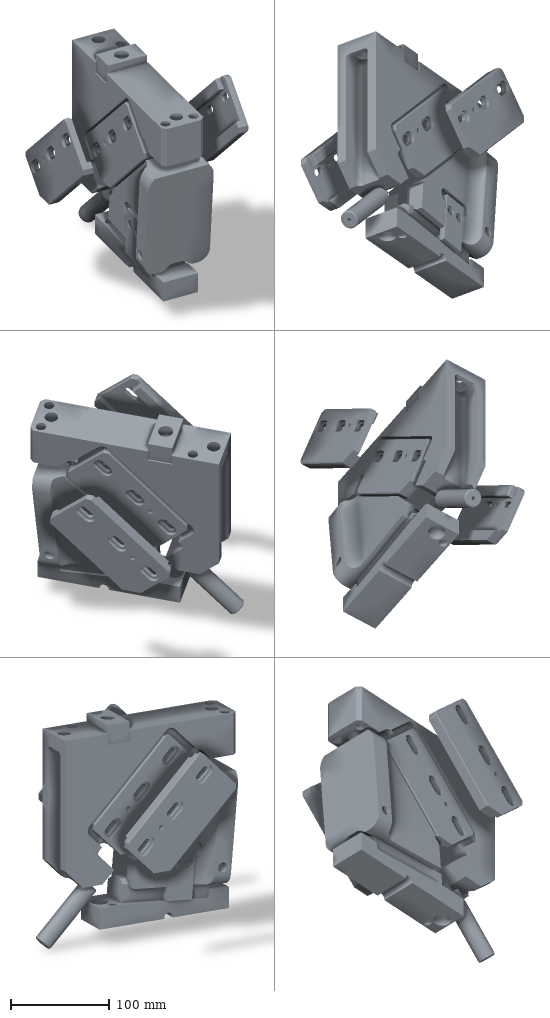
import cadquery as cq
import math

TILT = 5.0
TRAVEL = 45.0
SEAT_X = -51.5
PIN_X = -49.6
PIN_Z = 126.0
BIG = 472.7
DRILL_POINT = 118.0

BASE_LEFT = -80.0
BASE_RIGHT = 70.2
BASE_HEIGHT = 22.7
BASE_WIDTH = 40.0
GROOVE_RADIUS = 5.0
GROOVE_HEIGHT = 6.0
SEAT_CORNER_RADIUS = 2.0
BASE_SCREW_DIA = 18.0
BASE_SCREW_X = -69.2
BASE_DOWEL_DIA = 9.0
BASE_DOWEL_X = -61.5
BASE_DOWEL_Y = -13.2

DRIVER_LENGTH = 99.0
SHOULDER_HEIGHT = 16.8
ROOF_HEIGHT = 7.0
ROOF_TOP_HALF = 6.9
ROOF_HALF = 17.3
DRIVER_TRIM = 13.2
DRIVER_TRIM_END = 61.5
HOOK_GROOVE_END = 84.0
HOOK_GROOVE_TOP = 8.5
HOOK_GROOVE_RADIUS = 6.1
DRIVER_CHAMFER = 3.3

HOLDER_WIDTH = 48.0
HOLDER_LEFT = -122.0
HOLDER_RIGHT = 77.8
HOLDER_TOP = 209.5
HOLDER_BOTTOM = 49.5
ARM_BOTTOM = 164.7
ARM_CHAMFER = 4.5
HEEL_CHAMFER = 20.3
STOP_FACE = 96.0
STOP_CORNER_RADIUS = 7.0
SLIDE_CONTACT = -20.0
MOUTH_TOP = -5.0
MOUTH_START = -33.0
MOUTH_END = -55.5
MOUTH_RADIUS = 3.5
NOSE_EDGE = -33.5
CHANNEL_WIDTH = 27.7
CHANNEL_DEPTH = 23.2
CHANNEL_TOP = 194.0
CHANNEL_RADIUS = 5.0

SCREW_DIA = 14.0
DOWEL_DIA = 10.6
DOWEL_Y = 16.0
LEFT_SCREW_X = -110.1
LEFT_DOWEL_X = -92.5
LEFT_DOWEL_DEPTH = 20.0
RIGHT_SCREW_X = 60.7
RIGHT_DOWEL_X = 67.4
KEY_LEFT = -72.3
KEY_WIDTH = 25.5
KEY_LENGTH = 45.0
KEY_BOTTOM = 197.0
KEY_TOP = 218.5
KEY_HOLE_DIA = 15.4
KEY_HOLE_DEPTH = 11.8
KEY_SOCKET = 9.0

PLATE_FACE = 24.8
PLATE_START = -39.7
PLATE_END = 85.0
PLATE_TOP = 19.9
PLATE_LOW = -42.3
PLATE_CORNER = 4.7
PLATE_LOW_CORNER = 14.7
PLATE_EDGE_CHAMFER = 1.0
WEB_THICKNESS = 7.0
PAD_THICKNESS = 12.5
PAD_START = -29.8
PAD_END = 74.5
PAD_LOW = 7.5
PAD_CHAMFER = 1.0
PAD_ROOT_RADIUS = 2.1
RAIL_THICKNESS = 11.5
RAIL_EDGE = -30.5
RAIL_CHAMFER = 1.0
SLOT_START = -25.0
SLOT_PITCH = 47.5
SLOT_COUNT = 3
SLOT_STROKE = 10.0
SLOT_WIDTH = 7.0
SLOT_HEAD_WIDTH = 13.0
SLOT_HEAD_DEPTH = 3.5
PIN_DIA = 5.5
PLATE_SOCKET = 4.5
SOCKET_DEPTH = 2.4
REMOVED_SHIFT = 70.2
RECESS_START = -46.8
RECESS_END = 93.0
RECESS_TOP = 23.0
RECESS_RADIUS = 7.5
RECESS_FLOOR_RADIUS = 2.1

SLIDE_START = 7.5
SLIDE_END = 112.0
SLIDE_TOP = 137.5
SLIDE_WIDTH = HOLDER_WIDTH
FLANGE_THICKNESS = 19.4
FLANGE_WIDTH = 75.2
FLANGE_CORNER = 14.0
FLANGE_TOP_RADIUS = 17.7
FLANGE_HOLE_DIA = 10.5
FLANGE_HOLE_ALONG = 101.6
FLANGE_HOLE_UP = 37.3
FLANGE_HOLE_DEPTH = 10.6
SHOULDER_LINE = -45.1
SHOULDER_START = -24.5
BEVEL_LINE = -47.7
TONGUE_START = -21.3
TONGUE_END = 88.9
TONGUE_CHAMFER = 11.3
END_SLOT_WIDTH = 14.2
END_SLOT_DEPTH = 14.2

BRACKET_START = 47.3
BRACKET_WIDTH = 28.8
BRACKET_LOW = 1.7
BRACKET_TOP = 56.5
BRACKET_FACE = PLATE_FACE
BRACKET_BACK = 18.2
HOOK_TOP = 8.0
BRACKET_GAP = 2.1
BRACKET_SCREWS = (54.1, 69.0)
BRACKET_SCREW_UP = 40.2
BRACKET_HEAD_DIA = 10.5
BRACKET_HEAD_DEPTH = 2.0
BRACKET_SOCKET = 6.5
RELIEF_START = 38.5
RELIEF_LENGTH = 45.5
RELIEF_WIDTH = 14.7
RELIEF_LOW = 47.5

SPRING_ACROSS = -36.9
SPRING_DIA = 19.0
SPRING_START = -158.0
SPRING_BODY = 77.0
SPRING_CHAMFER = 1.2
SPRING_RING_FROM_TOP = 14.2
SPRING_RING_WIDTH = 1.2
SPRING_RING_DEPTH = 0.2
SPRING_HOLE_DIA = 4.3
SPRING_HOLE_DEPTH = 4.7
ROD_DIA = 6.5
ROD_LENGTH = 11.0
COLLAR_DIA = 18.2
COLLAR_START = 88.9
COLLAR_THICKNESS = 2.0
FITTED_SPRING_START = 71.0

cos_tilt, sin_tilt = math.cos(math.radians(TILT)), math.sin(math.radians(TILT))
cos_travel, sin_travel = math.cos(math.radians(TRAVEL)), math.sin(math.radians(TRAVEL))


def travel_plane(y=0.0):
    """Local X up along the travel, local Y up-left across it, normal toward -Y."""
    return cq.Workplane(cq.Plane((PIN_X, y, PIN_Z), (cos_travel, 0, sin_travel), (0, -1, 0)))


def tilt_plane(y=0.0):
    """Local X down along the driver seat, local Y square to the seat, normal toward -Y."""
    return cq.Workplane(cq.Plane((SEAT_X, y, BASE_HEIGHT), (cos_tilt, 0, -sin_tilt), (0, -1, 0)))


def seat_section(along):
    """Cross-section plane of the driver: local X along +Y, local Y square to the seat."""
    x, z = from_tilt(along, 0)
    return cq.Workplane(cq.Plane((x, 0, z), (0, 1, 0), (cos_tilt, 0, -sin_tilt)))


def spring_section(along):
    """Plane square to the spring axis at a position along the travel."""
    x, z = from_travel(along, SPRING_ACROSS)
    return cq.Workplane(cq.Plane((x, 0, z), (0, 1, 0), (cos_travel, 0, sin_travel)))


def from_travel(along, across):
    """X and Z of a point given in the travel frame."""
    x = PIN_X + along * cos_travel - across * sin_travel
    z = PIN_Z + along * sin_travel + across * cos_travel
    return x, z


def from_tilt(along, up):
    """X and Z of a point given in the tilted frame."""
    x = SEAT_X + along * cos_tilt + up * sin_tilt
    z = BASE_HEIGHT - along * sin_tilt + up * cos_tilt
    return x, z


def block(plane, x0, x1, y0, y1, depth, both=False):
    """Block over a rectangle of a workplane; a negative depth runs against its normal."""
    center = ((x0 + x1) / 2, (y0 + y1) / 2)
    return plane.center(*center).rect(x1 - x0, y1 - y0).extrude(depth, both=both)


def drilled(plane, diameter, depth):
    """Blind drilled hole running against the plane's normal, with a conical end."""
    radius = diameter / 2
    point = radius / math.tan(math.radians(DRILL_POINT / 2))
    hole = plane.circle(radius).extrude(-depth)
    inward = plane.plane.zDir * -1
    cone = cq.Solid.makeCone(radius, 0, point, plane.plane.origin + inward * depth, inward)
    return hole.union(cq.Workplane(cone))


def make_base():
    """Base plate with the tilted driver seat, a locating groove and mounting holes."""
    seat_end = from_tilt(DRIVER_LENGTH, 0)
    wall_height = (BASE_HEIGHT - seat_end[1]) / cos_tilt
    wall_top = from_tilt(DRIVER_LENGTH, wall_height)
    spring_line = GROOVE_HEIGHT - GROOVE_RADIUS
    outline = (
        cq.Workplane("XZ")
        .moveTo(BASE_LEFT, 0)
        .lineTo(BASE_LEFT, BASE_HEIGHT)
        .lineTo(SEAT_X, BASE_HEIGHT)
        .lineTo(*seat_end)
        .lineTo(*wall_top)
        .lineTo(BASE_RIGHT, BASE_HEIGHT)
        .lineTo(BASE_RIGHT, 0)
        .lineTo(GROOVE_RADIUS, 0)
        .lineTo(GROOVE_RADIUS, spring_line)
        .threePointArc((0, GROOVE_HEIGHT), (-GROOVE_RADIUS, spring_line))
        .lineTo(-GROOVE_RADIUS, 0)
        .close()
    )
    base = outline.extrude(BASE_WIDTH / 2, both=True)
    corner = cq.selectors.NearestToPointSelector((seat_end[0], 0, seat_end[1]))
    base = base.edges("|Y").edges(corner).fillet(SEAT_CORNER_RADIUS)
    top = cq.Workplane("XY", origin=(0, 0, BASE_HEIGHT))
    screw_hole = top.center(BASE_SCREW_X, 0).circle(BASE_SCREW_DIA / 2).extrude(-BASE_HEIGHT)
    dowel_hole = top.center(BASE_DOWEL_X, BASE_DOWEL_Y).circle(BASE_DOWEL_DIA / 2).extrude(-BASE_HEIGHT)
    return base.cut(screw_hole).cut(dowel_hole)


def make_driver():
    """Roof-topped driver; its -Y side is trimmed back at the start and grooved for the return hook."""
    roof_top = SHOULDER_HEIGHT + ROOF_HEIGHT
    section = [
        (ROOF_HALF, 0),
        (ROOF_HALF, SHOULDER_HEIGHT),
        (ROOF_TOP_HALF, roof_top),
        (-ROOF_TOP_HALF, roof_top),
        (-ROOF_HALF, SHOULDER_HEIGHT),
        (-ROOF_HALF, 0),
    ]
    driver = seat_section(0).polyline(section).close().extrude(DRIVER_LENGTH)
    side = tilt_plane(-DRIVER_TRIM)
    trim = block(side, -BIG, DRIVER_TRIM_END, -BIG, BIG, BIG)
    groove = block(side, 0, HOOK_GROOVE_END, -BIG, HOOK_GROOVE_TOP, BIG)
    groove_corner = from_tilt(HOOK_GROOVE_END, HOOK_GROOVE_TOP)
    corner = cq.selectors.NearestToPointSelector((groove_corner[0], -BIG / 2, groove_corner[1]))
    groove = groove.edges("|Y").edges(corner).fillet(HOOK_GROOVE_RADIUS)
    driver = driver.cut(trim).cut(groove)
    x, z = from_tilt(DRIVER_LENGTH, 0)
    corner = cq.selectors.NearestToPointSelector((x, 0, z))
    return driver.edges("|Y").edges(corner).chamfer(DRIVER_CHAMFER)


def plate_slots():
    """Centres of the screw slots along the travel."""
    return [SLOT_START + i * SLOT_PITCH for i in range(SLOT_COUNT)]


def guide_plate():
    """Guide plate on the -Y side: thin web, thick pad at its top edge and rail at its low edge."""
    outer = travel_plane(-PLATE_FACE)
    outline = [
        (PLATE_START, PLATE_TOP - PLATE_CORNER),
        (PLATE_START + PLATE_CORNER, PLATE_TOP),
        (PLATE_END - PLATE_CORNER, PLATE_TOP),
        (PLATE_END, PLATE_TOP - PLATE_CORNER),
        (PLATE_END, PLATE_LOW + PLATE_CORNER),
        (PLATE_END - PLATE_CORNER, PLATE_LOW),
        (PLATE_START + PLATE_LOW_CORNER, PLATE_LOW),
        (PLATE_START, PLATE_LOW + PLATE_LOW_CORNER),
    ]
    plate = outer.polyline(outline).close().extrude(-PAD_THICKNESS)
    middle = (PLATE_START + PLATE_END) / 2
    for across in (PLATE_TOP, PLATE_LOW):
        x, z = from_travel(middle, across)
        long_edge = cq.selectors.NearestToPointSelector((x, -PLATE_FACE, z))
        plate = plate.edges(long_edge).chamfer(PLATE_EDGE_CHAMFER)

    web_back = travel_plane(-PLATE_FACE + WEB_THICKNESS)
    relief = block(web_back, -BIG, BIG, RAIL_EDGE, BIG, -BIG)
    pad = block(web_back, PAD_START, PAD_END, PAD_LOW, PLATE_TOP, -BIG)
    rail_back = travel_plane(-PLATE_FACE + RAIL_THICKNESS)
    rail_relief = block(rail_back, -BIG, BIG, -BIG, RAIL_EDGE, -BIG)
    plate = plate.cut(relief.cut(pad)).cut(rail_relief)
    for along in (PAD_START, PAD_END):
        x, z = from_travel(along, (PAD_LOW + PLATE_TOP) / 2)
        root = cq.selectors.NearestToPointSelector((x, -PLATE_FACE + WEB_THICKNESS, z))
        plate = plate.edges(root).fillet(PAD_ROOT_RADIUS)
    plate = plate.faces(">Y").edges().chamfer(PAD_CHAMFER)
    x, z = from_travel(middle, RAIL_EDGE)
    rail_edge = cq.selectors.NearestToPointSelector((x, -PLATE_FACE + RAIL_THICKNESS, z))
    plate = plate.edges(rail_edge).chamfer(RAIL_CHAMFER)

    slots = outer.pushPoints([(along, 0) for along in plate_slots()])
    heads = slots.slot2D(SLOT_STROKE + SLOT_HEAD_WIDTH, SLOT_HEAD_WIDTH).extrude(-SLOT_HEAD_DEPTH)
    shanks = slots.slot2D(SLOT_STROKE + SLOT_WIDTH, SLOT_WIDTH).extrude(-PAD_THICKNESS)
    dowel_hole = outer.circle(PIN_DIA / 2).extrude(-PAD_THICKNESS)
    return plate.cut(heads).cut(shanks).cut(dowel_hole)


def holder_body():
    """Main block of the holder, notched at 45 degrees for the slide and the spring."""
    nose_along = (HOLDER_BOTTOM - PIN_Z - NOSE_EDGE * cos_travel) / sin_travel
    arm_across = (ARM_BOTTOM - PIN_Z - STOP_FACE * sin_travel) / cos_travel
    outline = [
        (HOLDER_LEFT, HOLDER_TOP),
        (HOLDER_RIGHT, HOLDER_TOP),
        (HOLDER_RIGHT, ARM_BOTTOM),
        from_travel(STOP_FACE, arm_across),
        from_travel(STOP_FACE, SLIDE_CONTACT),
        from_travel(MOUTH_START, SLIDE_CONTACT),
        from_travel(MOUTH_START, MOUTH_TOP),
        from_travel(MOUTH_END, MOUTH_TOP),
        from_travel(MOUTH_END, NOSE_EDGE),
        from_travel(nose_along, NOSE_EDGE),
        (HOLDER_LEFT + HEEL_CHAMFER, HOLDER_BOTTOM),
        (HOLDER_LEFT, HOLDER_BOTTOM + HEEL_CHAMFER),
    ]
    body = cq.Workplane("XZ").polyline(outline).close().extrude(HOLDER_WIDTH / 2, both=True)
    rounds = [
        (STOP_FACE, SLIDE_CONTACT, STOP_CORNER_RADIUS),
        (MOUTH_END, MOUTH_TOP, MOUTH_RADIUS),
    ]
    for along, across, radius in rounds:
        x, z = from_travel(along, across)
        corner = cq.selectors.NearestToPointSelector((x, 0, z))
        body = body.edges("|Y").edges(corner).fillet(radius)
    return body.edges("|Z and >X").chamfer(ARM_CHAMFER)


def holder_channel():
    """Round-cornered channel in the -X face, open at the bottom."""
    channel = cq.Workplane("XY").box(
        CHANNEL_DEPTH * 2, CHANNEL_WIDTH, CHANNEL_TOP, centered=(True, True, False)
    )
    channel = channel.edges("|Z or >Z").edges(">X or |X").fillet(CHANNEL_RADIUS)
    return channel.translate((HOLDER_LEFT, 0, 0))


def plate_recess():
    """Recess for the guide plate on the -Y side."""
    floor = travel_plane(-PLATE_FACE + WEB_THICKNESS)
    recess = block(floor, RECESS_START, RECESS_END, PLATE_LOW, RECESS_TOP, BIG)
    for along in (RECESS_START, RECESS_END):
        x, z = from_travel(along, RECESS_TOP)
        corner = cq.selectors.NearestToPointSelector((x, -BIG / 2, z))
        recess = recess.edges("|Y").edges(corner).fillet(RECESS_RADIUS)
    recess = recess.faces(">Y").edges().fillet(RECESS_FLOOR_RADIUS)
    return recess.intersect(block(floor, -BIG, BIG, SLIDE_CONTACT, BIG, BIG, both=True))


def plate_sockets():
    """Hexagon sockets of the plate screws on the -Y side."""
    floor = travel_plane(-PLATE_FACE + WEB_THICKNESS)
    points = [(along, 0) for along in plate_slots()]
    return floor.pushPoints(points).polygon(6, PLATE_SOCKET).extrude(-SOCKET_DEPTH)


def add_key(holder):
    """Cross key in a slot of the holder, with a counterbored screw."""
    key_x = KEY_LEFT + KEY_WIDTH / 2
    slot = cq.Workplane("XY", origin=(key_x, 0, KEY_BOTTOM)).rect(KEY_WIDTH, HOLDER_WIDTH).extrude(BIG)
    key = cq.Workplane("XY", origin=(key_x, 0, KEY_BOTTOM)).rect(KEY_WIDTH, KEY_LENGTH)
    key = key.extrude(KEY_TOP - KEY_BOTTOM)
    top = cq.Workplane("XY", origin=(key_x, 0, KEY_TOP))
    head = top.circle(KEY_HOLE_DIA / 2).extrude(-KEY_HOLE_DEPTH)
    socket = top.polygon(6, KEY_SOCKET).extrude(-KEY_HOLE_DEPTH - SOCKET_DEPTH)
    return holder.cut(slot).union(key).cut(head).cut(socket)


def cut_holder_holes(holder):
    """Screw and dowel holes in the top face."""
    top = cq.Workplane("XY", origin=(0, 0, HOLDER_TOP))
    roof = HOLDER_TOP - CHANNEL_TOP
    left_screw = top.center(LEFT_SCREW_X, 0).circle(SCREW_DIA / 2).extrude(-roof - CHANNEL_RADIUS)
    arm_depth = HOLDER_TOP - ARM_BOTTOM
    right_screw = top.center(RIGHT_SCREW_X, 0).circle(SCREW_DIA / 2).extrude(-arm_depth)
    right_dowels = top.pushPoints([(RIGHT_DOWEL_X, y) for y in (-DOWEL_Y, DOWEL_Y)])
    right_dowels = right_dowels.circle(DOWEL_DIA / 2).extrude(-arm_depth)
    left_dowel_top = cq.Workplane("XY", origin=(LEFT_DOWEL_X, DOWEL_Y, HOLDER_TOP))
    left_dowel = drilled(left_dowel_top, DOWEL_DIA, LEFT_DOWEL_DEPTH)
    return holder.cut(left_screw).cut(right_screw).cut(right_dowels).cut(left_dowel)


def make_holder(plate):
    """Holder with its key and the two fitted guide plates."""
    holder = holder_body().cut(holder_channel())
    recess = plate_recess()
    sockets = plate_sockets()
    holder = holder.cut(recess).cut(recess.mirror("XZ"))
    pin_hole = travel_plane(-PLATE_FACE).circle(PIN_DIA / 2).extrude(-PAD_THICKNESS)
    for side_plate, cuts in ((plate, sockets), (plate.mirror("XZ"), sockets.mirror("XZ"))):
        holder = holder.union(side_plate).cut(cuts)
    holder = holder.cut(pin_hole).cut(pin_hole.mirror("XZ"))
    return cut_holder_holes(add_key(holder))


def slide_body():
    """Block of the slide, cut off at 45 degrees below the guide plates."""
    body = block(tilt_plane(), SLIDE_START, SLIDE_END, SHOULDER_HEIGHT, SLIDE_TOP, SLIDE_WIDTH / 2, both=True)
    upper = block(travel_plane(), SHOULDER_START, BIG, SHOULDER_LINE, BIG, BIG, both=True)
    lower = block(travel_plane(), -BIG, SHOULDER_START, BEVEL_LINE, BIG, BIG, both=True)
    return body.cut(upper).cut(lower)


def slide_tongue():
    """T-shaped tongue between the two guide plates, hooked behind their rails."""
    neck_half = PLATE_FACE - PAD_THICKNESS
    head_half = PLATE_FACE - WEB_THICKNESS
    neck = block(travel_plane(), TONGUE_START, TONGUE_END, BEVEL_LINE, RAIL_EDGE, neck_half, both=True)
    x, z = from_travel(TONGUE_END, BEVEL_LINE)
    low_corner = cq.selectors.NearestToPointSelector((x, 0, z))
    neck = neck.edges("|Y").edges(low_corner).chamfer(TONGUE_CHAMFER)
    head = block(travel_plane(), TONGUE_START, TONGUE_END, RAIL_EDGE, SLIDE_CONTACT, head_half, both=True)
    return neck.union(head)


def slide_flange():
    """Work flange at the +X end, widened from the slide through two concave rounds."""
    web_radius = (FLANGE_WIDTH - SLIDE_WIDTH) / 2
    flange_start = SLIDE_END - FLANGE_THICKNESS
    web_start = flange_start - web_radius
    half = FLANGE_WIDTH / 2
    top_angle = math.asin(FLANGE_CORNER / FLANGE_TOP_RADIUS)
    arc_y = half - FLANGE_TOP_RADIUS
    arc_up = SLIDE_TOP - FLANGE_CORNER
    arc_middle_y = arc_y + FLANGE_TOP_RADIUS * math.cos(top_angle / 2)
    arc_middle_up = arc_up + FLANGE_TOP_RADIUS * math.sin(top_angle / 2)
    arc_end_y = arc_y + FLANGE_TOP_RADIUS * math.cos(top_angle)
    flange = (
        seat_section(web_start)
        .moveTo(-half, arc_up)
        .threePointArc((-arc_middle_y, arc_middle_up), (-arc_end_y, SLIDE_TOP))
        .lineTo(arc_end_y, SLIDE_TOP)
        .threePointArc((arc_middle_y, arc_middle_up), (half, arc_up))
        .lineTo(half, SHOULDER_HEIGHT + FLANGE_CORNER)
        .radiusArc((half - FLANGE_CORNER, SHOULDER_HEIGHT), FLANGE_CORNER)
        .lineTo(FLANGE_CORNER - half, SHOULDER_HEIGHT)
        .radiusArc((-half, SHOULDER_HEIGHT + FLANGE_CORNER), FLANGE_CORNER)
        .close()
        .extrude(SLIDE_END - web_start)
    )
    x, z = from_tilt(web_start, 0)
    seat_level = cq.Plane((x, 0, z), (0, 1, 0), (sin_tilt, 0, cos_tilt))
    rounds = (
        cq.Workplane(seat_level)
        .pushPoints([(side * FLANGE_WIDTH / 2, 0) for side in (-1, 1)])
        .circle(web_radius)
        .extrude(BIG)
    )
    flange = flange.cut(rounds)
    x, z = from_tilt(FLANGE_HOLE_ALONG, FLANGE_HOLE_UP)
    hole = drilled(cq.Workplane("XZ", origin=(x, -FLANGE_WIDTH / 2, z)), FLANGE_HOLE_DIA, FLANGE_HOLE_DEPTH)
    return flange.cut(hole).cut(hole.mirror("XZ"))


def roof_groove():
    """V-shaped groove with a flat top that rides on the driver roof."""
    section = [
        (ROOF_HALF, SHOULDER_HEIGHT),
        (ROOF_TOP_HALF, SHOULDER_HEIGHT + ROOF_HEIGHT),
        (-ROOF_TOP_HALF, SHOULDER_HEIGHT + ROOF_HEIGHT),
        (-ROOF_HALF, SHOULDER_HEIGHT),
    ]
    return seat_section(0).polyline(section).close().extrude(BIG)


def end_slot():
    """Slot in the lower -X end of the slide, open to the roof groove."""
    end = SLIDE_START + END_SLOT_DEPTH
    return block(tilt_plane(), 0, end, SHOULDER_HEIGHT, BIG, END_SLOT_WIDTH / 2, both=True)


def bracket_recess():
    """Recess on the -Y side of the slide that takes the return bracket."""
    floor = tilt_plane(-BRACKET_BACK)
    end = BRACKET_START + BRACKET_WIDTH + BRACKET_GAP
    relief_up = RELIEF_LOW + RELIEF_WIDTH / 2
    pocket = block(floor, BRACKET_START, end, 0, relief_up, BIG)
    relief = floor.center(RELIEF_START + RELIEF_LENGTH / 2, relief_up)
    relief = relief.slot2D(RELIEF_LENGTH, RELIEF_WIDTH).extrude(BIG)
    return pocket.union(relief)


def return_bracket():
    """Return bracket with two socket screws and a hook beside the driver."""
    end = BRACKET_START + BRACKET_WIDTH
    face = tilt_plane(-BRACKET_FACE)
    bracket = block(face, BRACKET_START, end, BRACKET_LOW, BRACKET_TOP, BRACKET_BACK - BRACKET_FACE)
    hook = block(face, BRACKET_START, end, BRACKET_LOW, HOOK_TOP, DRIVER_TRIM - BRACKET_FACE)
    screws = face.pushPoints([(along, BRACKET_SCREW_UP) for along in BRACKET_SCREWS])
    heads = screws.circle(BRACKET_HEAD_DIA / 2).extrude(-BRACKET_HEAD_DEPTH)
    sockets = screws.polygon(6, BRACKET_SOCKET).extrude(-BRACKET_HEAD_DEPTH - SOCKET_DEPTH)
    return bracket.union(hook).cut(heads).cut(sockets)


def fitted_spring_end():
    """Upper end of the fitted gas spring: barrel, collar and rod up to the stop face."""
    barrel = spring_section(FITTED_SPRING_START).circle(SPRING_DIA / 2)
    barrel = barrel.extrude(COLLAR_START - FITTED_SPRING_START)
    collar = spring_section(COLLAR_START).circle(COLLAR_DIA / 2).extrude(COLLAR_THICKNESS)
    rod = spring_section(COLLAR_START).circle(ROD_DIA / 2).extrude(STOP_FACE - COLLAR_START)
    return barrel.union(collar).union(rod)


def make_slide():
    """Slide with its flange, tongue, return bracket and fitted spring end."""
    slide = slide_body().cut(end_slot()).union(slide_tongue()).union(slide_flange())
    slide = slide.cut(roof_groove()).cut(bracket_recess())
    return slide.union(return_bracket()).union(fitted_spring_end())


def make_spring():
    """Gas spring drawn out below the holder, with its rod at the upper end."""
    barrel = spring_section(SPRING_START).circle(SPRING_DIA / 2).extrude(SPRING_BODY)
    barrel = barrel.edges("%CIRCLE").chamfer(SPRING_CHAMFER)
    ring_place = SPRING_START + SPRING_BODY - SPRING_RING_FROM_TOP
    ring = spring_section(ring_place).circle(SPRING_DIA / 2).circle(SPRING_DIA / 2 - SPRING_RING_DEPTH)
    ring = ring.extrude(SPRING_RING_WIDTH)
    hole = spring_section(SPRING_START).circle(SPRING_HOLE_DIA / 2).extrude(SPRING_HOLE_DEPTH)
    rod = spring_section(SPRING_START + SPRING_BODY).circle(ROD_DIA / 2).extrude(ROD_LENGTH)
    return barrel.cut(ring).cut(hole).union(rod)


base = make_base()
driver = make_driver()
slide = make_slide()
plate = guide_plate()
holder = make_holder(plate)
spring = make_spring()
removed_plate = plate.translate((0, -REMOVED_SHIFT, 0))
removed_plates = [removed_plate, removed_plate.mirror("XZ")]

result = cq.Compound.makeCompound([
    base.val(),
    driver.val(),
    slide.val(),
    holder.val(),
    spring.val(),
    *[removed.val() for removed in removed_plates],
])